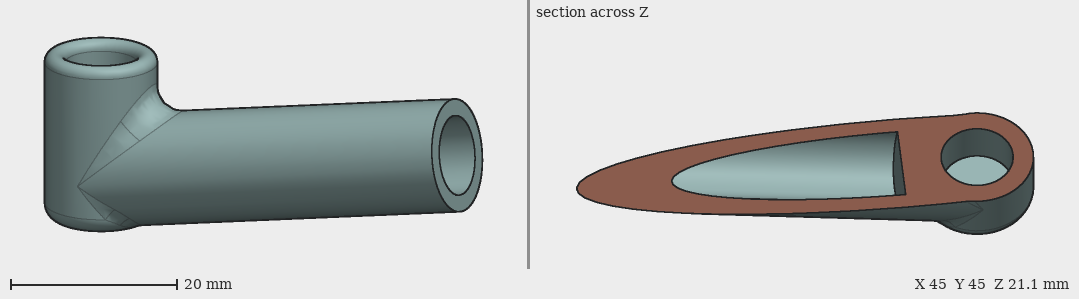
import cadquery as cq
import math

outer_diameter = 13.6
post_height = 21.0
post_bore_diameter = 8.6
arm_bore_diameter = 9.6
arm_length = 47.9
arm_axis_height = 6.08
arm_heading = 45
arm_rise = 10
base_radius = 2.05
junction_radius = 3.0

outer_radius = outer_diameter / 2
post_bore_radius = post_bore_diameter / 2
wall = outer_radius - post_bore_radius
rim_radius = wall / 2

rise = math.radians(arm_rise)
arm_direction = cq.Vector(math.cos(rise), 0, math.sin(rise))
arm_origin = cq.Vector(0, 0, arm_axis_height)


def arm_cylinder(diameter, start, end):
    """Cylinder on the arm axis between two distances from the post axis."""
    base = arm_origin + arm_direction * start
    cross_section = cq.Plane(base, xDir=(0, 1, 0), normal=arm_direction)
    return cq.Workplane(cross_section).circle(diameter / 2).extrude(end - start)


def make_post():
    """Solid of revolution with a rounded base edge and a half-round rim over the socket wall."""
    rim_start = post_height - rim_radius
    corner = base_radius * (1 - math.sqrt(0.5))
    return (
        cq.Workplane("XZ")
        .lineTo(outer_radius - base_radius, 0)
        .threePointArc((outer_radius - corner, corner), (outer_radius, base_radius))
        .lineTo(outer_radius, rim_start)
        .threePointArc((outer_radius - rim_radius, post_height), (post_bore_radius, rim_start))
        .lineTo(0, rim_start)
        .close()
        .revolve(360, (0, 0, 0), (0, 1, 0))
        .rotate((0, 0, 0), (0, 0, 1), -arm_heading)
    )


def make_body():
    """Post and arm, blended along the seam where they meet."""
    arm = arm_cylinder(outer_diameter, 0, arm_length)
    below_base = cq.Workplane("XY").circle(outer_diameter).extrude(-outer_diameter)
    body = make_post().union(arm.cut(below_base))
    seam = cq.selectors.BoxSelector(
        (rim_radius, -outer_radius, 0),
        (outer_diameter, outer_radius, arm_axis_height + outer_radius + rim_radius),
    )
    return body.edges(seam).fillet(junction_radius)


def cut_post_socket(body):
    """Blind socket from the top of the post."""
    socket = cq.Workplane("XY", origin=(0, 0, wall)).circle(post_bore_radius).extrude(post_height)
    return body.cut(socket)


def cut_arm_socket(body):
    """Blind socket from the open end of the arm, one wall short of the post."""
    return body.cut(arm_cylinder(arm_bore_diameter, outer_radius + wall, arm_length))


result = cut_arm_socket(cut_post_socket(make_body())).rotate((0, 0, 0), (0, 0, 1), arm_heading)